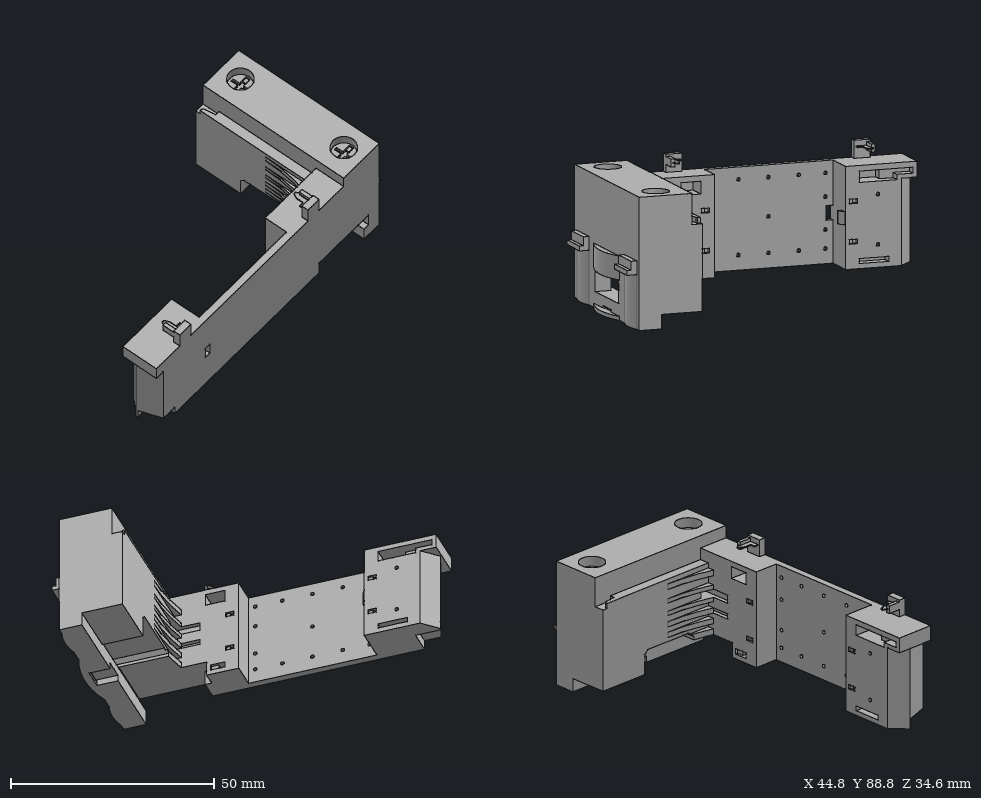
import cadquery as cq


WIDTH = 44.8
LENGTH = 88.8
HEIGHT = 34.6
OVERLAP = 0.4

BLOCK_TOP = 33.5
BLOCK_BACK = 86.2
BLOCK_FRONT = 69.6
UPPER_FRONT = 72.4
LEDGE_Z = 27.0
FOOT_FRONT = 80.3
BLOCK_BOTTOM = 3.6
CORNER_NOTCH_Z = 25.7
OPENING_LEFT = 14.3
OPENING_RIGHT = 30.5
OPENING_BOTTOM = 4.2
OPENING_TOP = 10.1
OPENING_CHAMFER = 1.1
RELIEF_SETBACK = 1.8

ARM_TOP = 30.1
ARM_BOTTOM = 4.2
ARM_LEFT = 36.05
PLATE_LEFT = 42.9
PLATE_FRONT = 18.9
PLATE_BACK = 52.7
END_LEFT = 34.1
BRIDGE_Z = 8.2
LEG_BACK = 62.9
LEG_STEP_Y = 61.1
LEG_STEP_DEPTH = 3.55

HOOD_BOTTOM = 26.1
NOSE_Y = 0.35
NOSE_BEVEL = 3.9
NOSE_SETBACK = 2.4
NOSE_CUT_LEFT = 38.5
NOSE_CUT_TOP = 6.75
NOSE_CUT_BACK = 7.1


def box(x, y, z):
    """Box from (low, high) pairs along X, Y and Z."""
    return cq.Workplane("XY").box(
        x[1] - x[0], y[1] - y[0], z[1] - z[0], centered=False
    ).translate((x[0], y[0], z[0]))


def prism_z(points, z):
    """Plan outline in X and Y, raised between two heights."""
    return cq.Workplane("XY").workplane(offset=z[0]).polyline(points).close().extrude(z[1] - z[0])


def back_bulge(x, height, z):
    """Shallow rounded pad standing out from the back of the head block."""
    embed = BLOCK_BACK - OVERLAP
    return (
        cq.Workplane("XY").workplane(offset=z[0])
        .moveTo(x[0], embed)
        .lineTo(x[0], BLOCK_BACK)
        .threePointArc(((x[0] + x[1]) / 2, BLOCK_BACK + height), (x[1], BLOCK_BACK))
        .lineTo(x[1], embed)
        .close()
        .extrude(z[1] - z[0])
    )


def head_block():
    side = [
        (BLOCK_FRONT, BLOCK_BOTTOM),
        (FOOT_FRONT, BLOCK_BOTTOM),
        (FOOT_FRONT, 0),
        (BLOCK_BACK, 0),
        (BLOCK_BACK, BLOCK_TOP),
        (UPPER_FRONT, BLOCK_TOP),
        (UPPER_FRONT, LEDGE_Z),
        (BLOCK_FRONT, LEDGE_Z),
    ]
    return cq.Workplane("YZ").polyline(side).close().extrude(WIDTH)


def ledge_corner_notch():
    outline = [
        (0, BLOCK_FRONT),
        (1.3, BLOCK_FRONT),
        (1.5, 70.3),
        (1.95, 70.6),
        (5.15, 71.0),
        (5.15, UPPER_FRONT),
        (0, UPPER_FRONT),
    ]
    return prism_z(outline, (CORNER_NOTCH_Z, LEDGE_Z))


FIN_START = 22.2
FIN_DROP = 1.9
FIN_LEVELS = [(24.15, 25.7), (20.5, 21.7), (17.1, 18.3), (14.0, 15.45), (11.2, 12.6), (BRIDGE_Z, 9.8)]


def fin(z):
    run = ARM_LEFT - FIN_START
    radius = (run ** 2 + FIN_DROP ** 2) / (2 * FIN_DROP)
    mid_drop = radius - (radius ** 2 - (run / 2) ** 2) ** 0.5
    return (
        cq.Workplane("XY").workplane(offset=z[0])
        .moveTo(FIN_START, BLOCK_FRONT)
        .threePointArc((FIN_START + run / 2, BLOCK_FRONT - mid_drop), (ARM_LEFT, BLOCK_FRONT - FIN_DROP))
        .lineTo(ARM_LEFT, BLOCK_FRONT + OVERLAP)
        .lineTo(FIN_START, BLOCK_FRONT + OVERLAP)
        .close()
        .extrude(z[1] - z[0])
    )


def cable_opening():
    """Chamfered window through the block, open downwards and to the arm in front of the foot."""
    chamfered_top = [
        (OPENING_LEFT, OPENING_TOP - OPENING_CHAMFER),
        (OPENING_LEFT + OPENING_CHAMFER, OPENING_TOP),
        (OPENING_RIGHT - OPENING_CHAMFER, OPENING_TOP),
        (OPENING_RIGHT, OPENING_TOP - OPENING_CHAMFER),
    ]
    window = [(OPENING_LEFT, OPENING_BOTTOM)] + chamfered_top + [(OPENING_RIGHT, OPENING_BOTTOM)]
    front_relief = (
        [(OPENING_LEFT, 0)]
        + chamfered_top
        + [(OPENING_RIGHT, BRIDGE_Z), (WIDTH, BRIDGE_Z), (WIDTH, 0)]
    )
    through = (
        cq.Workplane("XZ", origin=(0, LEG_BACK, 0))
        .polyline(window).close().extrude(LEG_BACK - LENGTH)
    )
    relief = (
        cq.Workplane("XZ", origin=(0, LEG_BACK, 0))
        .polyline(front_relief).close().extrude(LEG_BACK - FOOT_FRONT)
    )
    over_foot = box(
        (OPENING_RIGHT, WIDTH), (FOOT_FRONT, FOOT_FRONT + RELIEF_SETBACK), (OPENING_BOTTOM, BRIDGE_Z)
    )
    return through.union(relief).union(over_foot)


SCREW_XS = (5.95, 38.9)
SCREW_Y = 79.65
SCREW_DIAMETER = 6.75
SCREW_DEPTH = 2.7
CROSS_SLOTS = ((5.2, 0.8, 0.9), (1.2, 3.0, 0.9), (1.2, 5.9, 0.4))


def screw_recess(x):
    floor = BLOCK_TOP - SCREW_DEPTH
    cut = (
        cq.Workplane("XY", origin=(x, SCREW_Y, floor))
        .circle(SCREW_DIAMETER / 2).extrude(SCREW_DEPTH)
    )
    for size_x, size_y, depth in CROSS_SLOTS:
        slot = cq.Workplane("XY", origin=(x, SCREW_Y, floor - depth)).rect(size_x, size_y).extrude(depth)
        cut = cut.union(slot)
    return cut


PAD_WIDTH = 8.5
PAD_Z = (13.8, 17.2)
PAD_LIP_TOP = 15.0
PAD_BACK = 87.7
LEG_BULGE = 0.7
DIAL_X = (13.5, 31.4)
DIAL_BULGE = 1.8
DIAL_LEVELS = [(0, 1.1), (OPENING_TOP, 16.2)]
FOOT_NOTCH_X = (19.6, 25.1)
FOOT_NOTCH_TOP = 1.7


def back_pad(x):
    span = (x - PAD_WIDTH / 2, x + PAD_WIDTH / 2)
    pad = box(span, (BLOCK_BACK, PAD_BACK), PAD_Z)
    lip = box(span, (BLOCK_BACK, LENGTH), (PAD_Z[0], PAD_LIP_TOP))
    return pad.union(lip).union(back_bulge(span, LEG_BULGE, (0, PAD_Z[0])))


def arm():
    bridge = box((ARM_LEFT, WIDTH), (PLATE_BACK, UPPER_FRONT), (BRIDGE_Z, ARM_TOP))
    leg = box((ARM_LEFT, WIDTH), (PLATE_BACK, LEG_BACK), (ARM_BOTTOM, ARM_TOP))
    leg_step = box(
        (ARM_LEFT, ARM_LEFT + LEG_STEP_DEPTH), (LEG_STEP_Y, LEG_BACK), (ARM_BOTTOM, BRIDGE_Z)
    )
    plate = box((PLATE_LEFT, WIDTH), (PLATE_FRONT, PLATE_BACK), (ARM_BOTTOM, ARM_TOP))
    return bridge.union(leg.cut(leg_step)).union(plate)


def end_block():
    hood = box((END_LEFT, WIDTH), (0, PLATE_FRONT), (HOOD_BOTTOM, ARM_TOP))
    outline = [
        (END_LEFT, PLATE_FRONT),
        (END_LEFT, NOSE_Y + NOSE_BEVEL),
        (END_LEFT + NOSE_BEVEL, NOSE_Y),
        (WIDTH, NOSE_Y + NOSE_SETBACK),
        (WIDTH, PLATE_FRONT),
    ]
    nose = prism_z(outline, (ARM_BOTTOM, HOOD_BOTTOM))
    nose_cut = box((NOSE_CUT_LEFT, WIDTH), (0, NOSE_CUT_BACK), (ARM_BOTTOM, NOSE_CUT_TOP))
    return hood.union(nose.cut(nose_cut))


CLIP_FRONT = 58.6
CLIP_MIRROR_Y = 36.0
PRONG_LEFT = 39.4
PRONG_WIDTH = 1.1
PRONG_Z = (32.1, 34.1)
WEB_Z = (32.95, 33.2)


def back_clip():
    post = box((PLATE_LEFT, WIDTH), (CLIP_FRONT, LEG_BACK), (ARM_TOP, HEIGHT))
    prong = box((PRONG_LEFT, PLATE_LEFT), (LEG_BACK - PRONG_WIDTH, LEG_BACK), PRONG_Z)
    web_outline = [
        (PLATE_LEFT, 59.1),
        (41.7, 59.1),
        (41.7, 60.5),
        (39.8, 60.5),
        (38.3, 61.1),
        (38.3, 61.7),
        (PRONG_LEFT, 62.3),
        (PLATE_LEFT, 62.3),
    ]
    return post.union(prong).union(prism_z(web_outline, WEB_Z))


LATCH_Z = (15.4, 18.65)
WINDOW_Y = (PLATE_FRONT, 20.7)
WINDOW_Z = (15.1, 18.7)


def latch():
    outline = [(34.6, PLATE_FRONT), (36.2, 20.1), (36.8, 20.1), (36.8, PLATE_FRONT)]
    return prism_z(outline, LATCH_Z)


POCKET_TOP = 28.7
POCKET_DEPTH = 5.3
SHALLOW_DEPTH = 2.7
SLOT_BOTTOM = 5.5
POCKET_FRONT = 56.3
LEG_SLOT_Z = (SLOT_BOTTOM, 7.0)
SLOT_STEP_Y = 58.2
SLOT_STEP_DEPTH = 0.7
END_POCKET_BOTTOM = 25.8
END_POCKET_BACK = 15.3
END_POCKET_STEP_Y = 9.1
END_POCKET_NARROW_Y = 5.4
RIB_SLOT_DEPTH = 1.15
RIB_SLOT_LEFT = 33.5
SOCKET_LENGTH = 2.1
SOCKET_HEIGHT = 1.15
SOCKET_DEPTH = 1.1
SOCKET_ZS = (11.1, 21.2)
SOCKET_COLUMNS = ((ARM_LEFT, 55.1), (END_LEFT, 16.9))
DOT_DIAMETER = 0.9
DOT_DEPTH = 0.9
DOT_COLUMNS = (50.9, 43.8, 35.9, 27.9, 20.9)
PLATE_DOTS = (
    [(y, z) for y in DOT_COLUMNS for z in (8.0, 27.0)]
    + [(y, z) for y in (DOT_COLUMNS[0], DOT_COLUMNS[-1]) for z in (12.8, 21.05)]
    + [(DOT_COLUMNS[2], 17.1)]
)
END_DOTS = [(10.4, 9.95), (10.4, 22.55)]


def pocket(face_x, depth, y, z):
    return box((face_x, face_x + depth), y, z)


def dot_holes(face_x, places):
    return (
        cq.Workplane("YZ", origin=(face_x, 0, 0))
        .pushPoints(places).circle(DOT_DIAMETER / 2).extrude(DOT_DEPTH)
    )


def arm_pockets():
    between_ribs = (FIN_LEVELS[2][1], FIN_LEVELS[1][0])
    cuts = [
        pocket(ARM_LEFT, POCKET_DEPTH, (POCKET_FRONT, 61.45), (25.5, POCKET_TOP)),
        pocket(ARM_LEFT, SHALLOW_DEPTH, (POCKET_FRONT, SLOT_STEP_Y), LEG_SLOT_Z),
        pocket(ARM_LEFT, SLOT_STEP_DEPTH, (SLOT_STEP_Y, 60.0), LEG_SLOT_Z),
        pocket(ARM_LEFT, RIB_SLOT_DEPTH, (LEG_BACK, BLOCK_FRONT), FIN_LEVELS[3]),
        box((RIB_SLOT_LEFT, ARM_LEFT + RIB_SLOT_DEPTH), (LEG_BACK, UPPER_FRONT), between_ribs),
        pocket(END_LEFT, POCKET_DEPTH, (END_POCKET_STEP_Y, END_POCKET_BACK), (END_POCKET_BOTTOM, POCKET_TOP)),
        pocket(
            END_LEFT, SHALLOW_DEPTH,
            (END_POCKET_NARROW_Y, END_POCKET_STEP_Y), (END_POCKET_BOTTOM, POCKET_TOP),
        ),
        pocket(END_LEFT, SHALLOW_DEPTH, (1.15, END_POCKET_NARROW_Y), (27.2, POCKET_TOP)),
        pocket(END_LEFT, SHALLOW_DEPTH, (7.55, END_POCKET_BACK), (SLOT_BOTTOM, NOSE_CUT_TOP)),
        dot_holes(PLATE_LEFT, PLATE_DOTS),
        dot_holes(END_LEFT, END_DOTS),
        box((PLATE_LEFT, WIDTH), WINDOW_Y, WINDOW_Z),
    ]
    for face_x, y in SOCKET_COLUMNS:
        for z in SOCKET_ZS:
            span_z = (z - SOCKET_HEIGHT / 2, z + SOCKET_HEIGHT / 2)
            cuts.append(pocket(face_x, SOCKET_DEPTH, (y - SOCKET_LENGTH / 2, y), span_z))
            cuts.append(pocket(face_x, SOCKET_DEPTH / 2, (y, y + SOCKET_LENGTH / 2), span_z))
    return cuts


result = head_block().cut(ledge_corner_notch())
for level in FIN_LEVELS:
    result = result.union(fin(level))
result = result.cut(cable_opening())
result = result.cut(box(FOOT_NOTCH_X, (FOOT_FRONT, BLOCK_BACK), (0, FOOT_NOTCH_TOP)))
for level in DIAL_LEVELS:
    result = result.union(back_bulge(DIAL_X, DIAL_BULGE, level))
for screw_x in SCREW_XS:
    result = result.cut(screw_recess(screw_x)).union(back_pad(screw_x))

result = result.union(arm()).union(end_block()).union(latch())
for cut in arm_pockets():
    result = result.cut(cut)

clip = back_clip()
result = result.union(clip)
result = result.union(clip.mirror("XZ", (0, CLIP_MIRROR_Y, 0)))